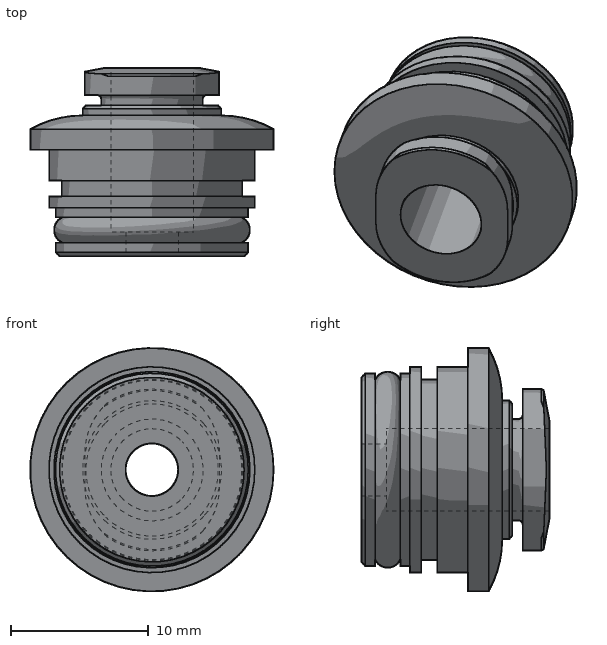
import cadquery as cq
import math


NOSE_DIA = 14.0
NOSE_CHAMFER = 0.3
RING_GROOVE_START = 1.0
RING_GROOVE_END = 2.84
NOSE_END = 3.53

RING_OUTER_DIA = 14.25
RING_SECTION_DIA = 2.0

BODY_DIA = 14.95
RIM_END = 4.37
CLIP_GROOVE_DIA = 13.15
CLIP_GROOVE_END = 5.51
BODY_END = 7.75

FLANGE_DIA = 17.7
FLANGE_END = 9.25
DOME_END = 10.25

COLLAR_DIA = 10.08
COLLAR_END = 10.97
COLLAR_CHAMFER = 0.23
NECK_DIA = 7.4
NECK_FILLET = 0.28

HEAD_START = 11.72
HEAD_END = 13.69
HEAD_DIA = 11.75
HEAD_EDGE_START = 13.09
HEAD_EDGE_END = 13.26
HEAD_EDGE_WIDTH = 0.1
HEAD_TOP_DIA = 7.0
HEAD_WIDTH = 9.78
HEAD_FLAT_LENGTH = 2.44

BORE_DIA = 3.8
BORE_STEP = 1.8
REAR_BORE_DIA = 6.0


def cylinder(diameter, start, end):
    """Solid cylinder on the Y axis between two axial stations."""
    return cq.Workplane("XZ", origin=(0, start, 0)).circle(diameter / 2).extrude(start - end)


def revolve_about_y(profile):
    """Close a half profile that starts and ends on the Y axis and turn it about that axis."""
    return profile.close().revolve(360, (0, 0, 0), (0, 1, 0))


def make_nose():
    front_land = cylinder(NOSE_DIA, 0, RING_GROOVE_START).faces("<Y").chamfer(NOSE_CHAMFER)
    rear_land = cylinder(NOSE_DIA, RING_GROOVE_END, NOSE_END)
    return front_land.union(rear_land)


def make_seal_ring():
    """Disc with a round rim: the ring fills its groove and touches both groove walls."""
    section_radius = RING_SECTION_DIA / 2
    half_width = (RING_GROOVE_END - RING_GROOVE_START) / 2
    section_center = RING_OUTER_DIA / 2 - section_radius
    contact_radius = section_center + math.sqrt(section_radius**2 - half_width**2)
    profile = (
        cq.Workplane("XY")
        .moveTo(0, RING_GROOVE_START)
        .lineTo(contact_radius, RING_GROOVE_START)
        .threePointArc(
            (RING_OUTER_DIA / 2, RING_GROOVE_START + half_width),
            (contact_radius, RING_GROOVE_END),
        )
        .lineTo(0, RING_GROOVE_END)
    )
    return revolve_about_y(profile)


def make_body():
    rim = cylinder(BODY_DIA, NOSE_END, RIM_END)
    groove_floor = cylinder(CLIP_GROOVE_DIA, RIM_END, CLIP_GROOVE_END)
    rear = cylinder(BODY_DIA, CLIP_GROOVE_END, BODY_END)
    return rim.union(groove_floor).union(rear)


def make_flange():
    """Flange disc whose domed back levels out where it meets the collar."""
    profile = (
        cq.Workplane("XY")
        .moveTo(0, DOME_END)
        .lineTo(COLLAR_DIA / 2, DOME_END)
        .tangentArcPoint((FLANGE_DIA / 2, FLANGE_END), relative=False)
        .lineTo(FLANGE_DIA / 2, BODY_END)
        .lineTo(0, BODY_END)
    )
    return revolve_about_y(profile)


def make_collar_and_neck():
    collar = cylinder(COLLAR_DIA, DOME_END, COLLAR_END).faces(">Y").chamfer(COLLAR_CHAMFER)
    return collar.union(cylinder(NECK_DIA, COLLAR_END, HEAD_START))


def make_neck_fillet():
    """Concave ring that blends the neck into the underside of the head."""
    neck_radius = NECK_DIA / 2
    fillet_start = HEAD_START - NECK_FILLET
    arc_offset = NECK_FILLET * (1 - math.sqrt(0.5))
    profile = (
        cq.Workplane("XY")
        .moveTo(0, fillet_start)
        .lineTo(neck_radius, fillet_start)
        .threePointArc(
            (neck_radius + arc_offset, HEAD_START - arc_offset),
            (neck_radius + NECK_FILLET, HEAD_START),
        )
        .lineTo(0, HEAD_START)
    )
    return revolve_about_y(profile)


def make_head():
    head_radius = HEAD_DIA / 2
    profile = (
        cq.Workplane("XY")
        .moveTo(0, HEAD_START)
        .lineTo(head_radius, HEAD_START)
        .lineTo(head_radius, HEAD_EDGE_START)
        .lineTo(head_radius - HEAD_EDGE_WIDTH, HEAD_EDGE_END)
        .lineTo(HEAD_TOP_DIA / 2, HEAD_END)
        .lineTo(0, HEAD_END)
    )
    button = revolve_about_y(profile)
    outline = (
        cq.Workplane("XZ", origin=(0, HEAD_START, 0))
        .slot2D(HEAD_WIDTH + HEAD_FLAT_LENGTH, HEAD_WIDTH, 90)
        .extrude(HEAD_START - HEAD_END)
    )
    return button.intersect(outline)


def make_bore():
    return cylinder(BORE_DIA, 0, BORE_STEP).union(cylinder(REAR_BORE_DIA, BORE_STEP, HEAD_END))


result = (
    make_nose()
    .union(make_seal_ring())
    .union(make_body())
    .union(make_flange())
    .union(make_collar_and_neck())
    .union(make_neck_fillet())
    .union(make_head())
    .cut(make_bore())
)